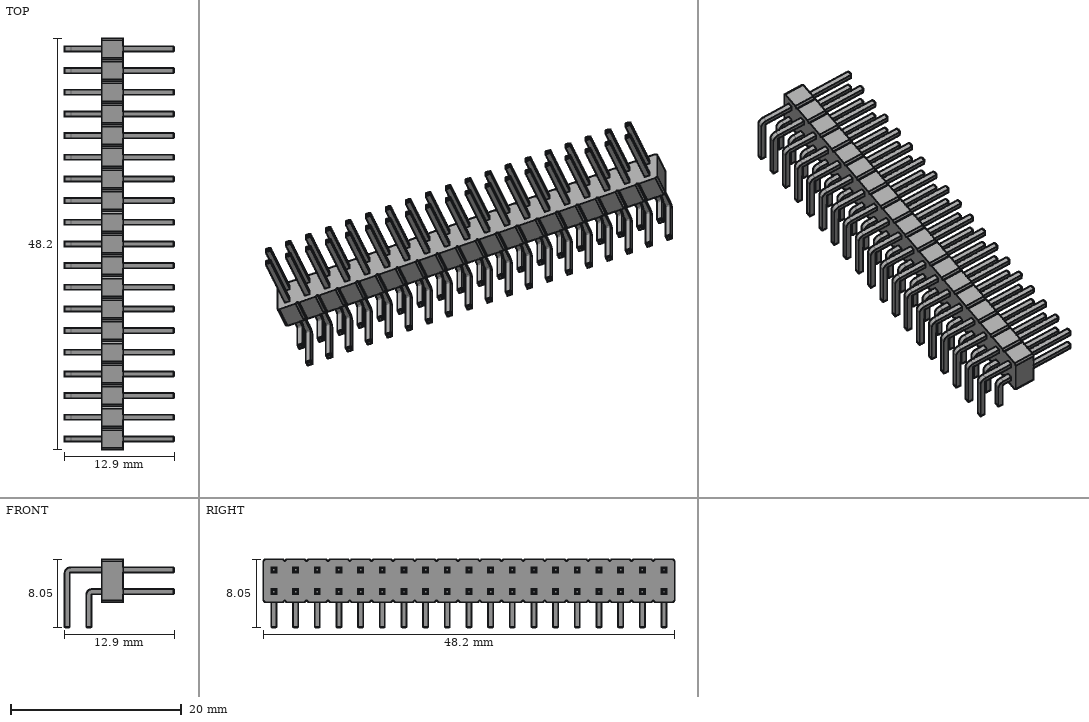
import cadquery as cq


bar_length = 48.25
pin_columns = 19
total_height = 8.05
pin_reach = 12.9
bar_offset = 4.35
bar_chamfer = 0.25
pin_size = 0.65
bend_radius = 0.7
tip_chamfer = 0.15

pitch = bar_length / pin_columns
bar_width = pitch
bar_height = 2 * pitch
inner_bend_radius = bend_radius - pin_size
bar_left = -bar_width / 2
leg_outer_x = bar_left - bar_offset
mating_tip_x = leg_outer_x + pin_reach
tail_tip_z = bar_height / 2 - total_height
column_places = [(column - (pin_columns - 1) / 2) * pitch for column in range(pin_columns)]


def make_segment(y_center):
    """One pitch of the bar, bevelled along its four X-direction edges."""
    segment = cq.Workplane("XY").box(bar_width, pitch, bar_height)
    return segment.edges("|X").chamfer(bar_chamfer).translate((0, y_center, 0))


def make_pin(outer_x, axis_z):
    """A bent square pin centred on Y = 0, with its leg face at outer_x and mating end at axis_z."""
    top_z = axis_z + pin_size / 2
    bottom_z = axis_z - pin_size / 2
    inner_x = outer_x + pin_size
    bend_center = (outer_x + bend_radius, top_z - bend_radius)
    pin = (
        cq.Workplane("XZ")
        .moveTo(outer_x, tail_tip_z)
        .lineTo(outer_x, bend_center[1])
        .radiusArc((bend_center[0], top_z), bend_radius)
        .lineTo(mating_tip_x, top_z)
        .lineTo(mating_tip_x, bottom_z)
        .lineTo(bend_center[0], bottom_z)
        .radiusArc((inner_x, bend_center[1]), -inner_bend_radius)
        .lineTo(inner_x, tail_tip_z)
        .close()
        .extrude(pin_size / 2, both=True)
    )
    pin = pin.faces(">X").chamfer(tip_chamfer)
    return pin.faces("<Z").chamfer(tip_chamfer)


upper_pin = make_pin(leg_outer_x, pitch / 2)
lower_pin = make_pin(leg_outer_x + pitch, -pitch / 2)

result = cq.Workplane("XY")
for y_center in column_places:
    result = result.union(make_segment(y_center))
    result = result.union(upper_pin.translate((0, y_center, 0)))
    result = result.union(lower_pin.translate((0, y_center, 0)))